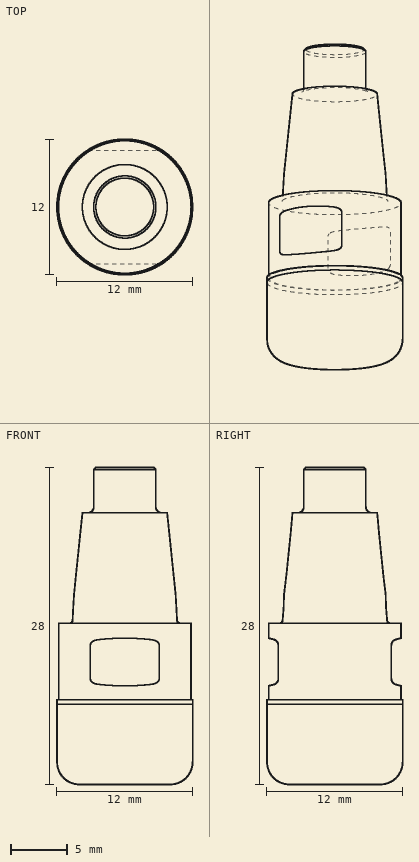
import cadquery as cq
import math

total_height = 28.0
cap_diameter = 12.0
body_diameter = 11.7
tip_diameter = 5.5

cap_height = 7.1
cap_edge_radius = 2.0

flange_top = 7.5
shoulder_z = 14.25
taper_start_z = 16.75
taper_top_z = 24.0

neck_root_diameter = 9.25
taper_start_diameter = 9.0
taper_top_diameter = 7.5

shoulder_fillet = 0.25
tip_fillet = 0.5
tip_chamfer = 0.2

flat_spacing = 10.0
notch_floor_height = 3.75
notch_center_z = 10.82
notch_wall_draft = 15.0
notch_corner_radius = 0.5


def make_cap():
    """Solid round cap with a rounded bottom edge."""
    cap = cq.Workplane("XY").circle(cap_diameter / 2).extrude(cap_height)
    return cap.faces("<Z").edges().fillet(cap_edge_radius)


def concave_arc_middle(corner_r, corner_z, radius):
    """Middle point of a quarter fillet that fills a corner between a floor and an upright wall."""
    offset = radius * (1 - 0.5 ** 0.5)
    return corner_r + offset, corner_z + offset


def make_turned_stem():
    """Flange, straight body, two-stage tapered neck and cylindrical tip, turned about Z."""
    body_r = body_diameter / 2
    root_r = neck_root_diameter / 2
    tip_r = tip_diameter / 2
    profile = (
        cq.Workplane("XZ")
        .moveTo(0, cap_height)
        .lineTo(cap_diameter / 2, cap_height)
        .lineTo(cap_diameter / 2, flange_top)
        .lineTo(body_r, flange_top)
        .lineTo(body_r, shoulder_z)
        .lineTo(root_r + shoulder_fillet, shoulder_z)
        .threePointArc(
            concave_arc_middle(root_r, shoulder_z, shoulder_fillet),
            (root_r, shoulder_z + shoulder_fillet),
        )
        .lineTo(taper_start_diameter / 2, taper_start_z)
        .lineTo(taper_top_diameter / 2, taper_top_z)
        .lineTo(tip_r + tip_fillet, taper_top_z)
        .threePointArc(
            concave_arc_middle(tip_r, taper_top_z, tip_fillet),
            (tip_r, taper_top_z + tip_fillet),
        )
        .lineTo(tip_r, total_height - tip_chamfer)
        .lineTo(tip_r - tip_chamfer, total_height)
        .lineTo(0, total_height)
        .close()
    )
    return profile.revolve(360, (0, 0, 0), (0, 1, 0))


def make_notch(side):
    """Cutter for one wrench flat on the +Y (side = 1) or -Y (side = -1) side."""
    floor_y = flat_spacing / 2
    mouth_y = cap_diameter / 2
    floor_half = notch_floor_height / 2
    flare = (mouth_y - floor_y) * math.tan(math.radians(notch_wall_draft))
    mouth_half = floor_half + flare
    floor_edges = "<Y" if side > 0 else ">Y"
    return (
        cq.Workplane("YZ", origin=(0, 0, notch_center_z))
        .moveTo(side * floor_y, -floor_half)
        .lineTo(side * mouth_y, -mouth_half)
        .lineTo(side * mouth_y, mouth_half)
        .lineTo(side * floor_y, floor_half)
        .close()
        .extrude(cap_diameter / 2, both=True)
        .faces(floor_edges)
        .edges("|X")
        .fillet(notch_corner_radius)
    )


def make_stem():
    """Turned stem with the two opposite wrench flats cut into its straight body."""
    stem = make_turned_stem()
    for side in (-1, 1):
        stem = stem.cut(make_notch(side))
    return stem


cap = make_cap()
stem = make_stem()

result = cq.Compound.makeCompound([cap.val(), stem.val()])